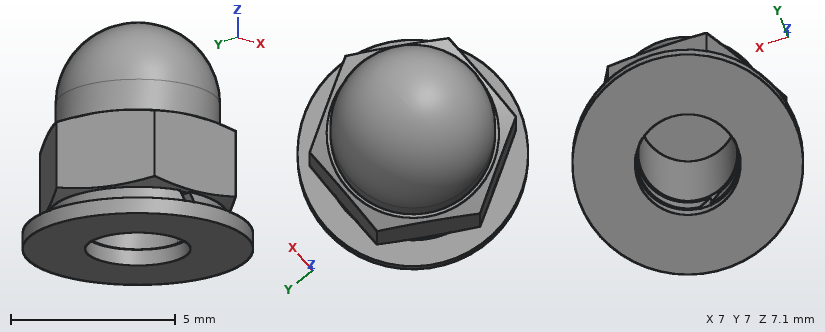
import cadquery as cq
import math

flat_washer_diameter = 7.0
flat_washer_thickness = 0.5
flat_washer_bore = 3.2

lock_washer_diameter = 5.4
lock_washer_thickness = 0.6
lock_washer_bore = 3.1
split_width = 0.3
split_angle = 30.0

across_flats = 5.5
hex_height = 2.5
chamfer_angle = 20.0
chamfer_diameter = 0.95 * across_flats
dome_diameter = 5.0
collar_height = 1.0
thread_bore = 3.0
thread_depth = 4.0

across_corners = across_flats / math.cos(math.radians(30))
dome_radius = dome_diameter / 2
lock_washer_base = flat_washer_thickness
nut_base = lock_washer_base + lock_washer_thickness
hex_top = nut_base + hex_height
collar_top = hex_top + collar_height
dome_top = collar_top + dome_radius


def make_ring(base, thickness, outer_diameter, bore):
    """Flat ring around Z, standing on the height `base`."""
    return (
        cq.Workplane("XY", origin=(0, 0, base))
        .circle(outer_diameter / 2)
        .circle(bore / 2)
        .extrude(thickness)
    )


def make_flat_washer():
    return make_ring(0, flat_washer_thickness, flat_washer_diameter, flat_washer_bore)


def make_lock_washer():
    """Ring cut through on its -Y side by one leaning split."""
    ring = make_ring(lock_washer_base, lock_washer_thickness, lock_washer_diameter, lock_washer_bore)

    half_width = split_width / math.cos(math.radians(split_angle)) / 2
    lean = lock_washer_thickness * math.tan(math.radians(split_angle))
    split = (
        cq.Workplane("XZ")
        .polyline([
            (-half_width, lock_washer_base),
            (half_width, lock_washer_base),
            (half_width - lean, nut_base),
            (-half_width - lean, nut_base),
        ])
        .close()
        .extrude(lock_washer_diameter)
    )
    return ring.cut(split)


def make_chamfered_hexagon():
    """Hexagon with corners on the X axis, trimmed by a cone at each end."""
    hexagon = cq.Workplane("XY", origin=(0, 0, nut_base)).polygon(6, across_corners).extrude(hex_height)

    face_radius = chamfer_diameter / 2
    corner_radius = across_corners / 2
    corner_drop = (corner_radius - face_radius) * math.tan(math.radians(chamfer_angle))
    envelope = (
        cq.Workplane("XZ")
        .moveTo(0, nut_base)
        .lineTo(face_radius, nut_base)
        .lineTo(corner_radius, nut_base + corner_drop)
        .lineTo(corner_radius, hex_top - corner_drop)
        .lineTo(face_radius, hex_top)
        .lineTo(0, hex_top)
        .close()
        .revolve(360, (0, 0, 0), (0, 1, 0))
    )
    return hexagon.intersect(envelope)


def make_cap():
    """Straight collar closed by a half-sphere dome."""
    arc_reach = dome_radius * math.sqrt(0.5)
    return (
        cq.Workplane("XZ")
        .moveTo(0, hex_top)
        .lineTo(dome_radius, hex_top)
        .lineTo(dome_radius, collar_top)
        .threePointArc((arc_reach, collar_top + arc_reach), (0, dome_top))
        .close()
        .revolve(360, (0, 0, 0), (0, 1, 0))
    )


def make_acorn_nut():
    """Chamfered hexagon and domed cap with a blind thread bore from below."""
    bore = cq.Workplane("XY", origin=(0, 0, nut_base)).circle(thread_bore / 2).extrude(thread_depth)
    return make_chamfered_hexagon().union(make_cap()).cut(bore)


flat_washer = make_flat_washer().solids()
lock_washer = make_lock_washer().solids()
acorn_nut = make_acorn_nut().solids()

result = cq.Compound.makeCompound([flat_washer.val(), lock_washer.val(), acorn_nut.val()])